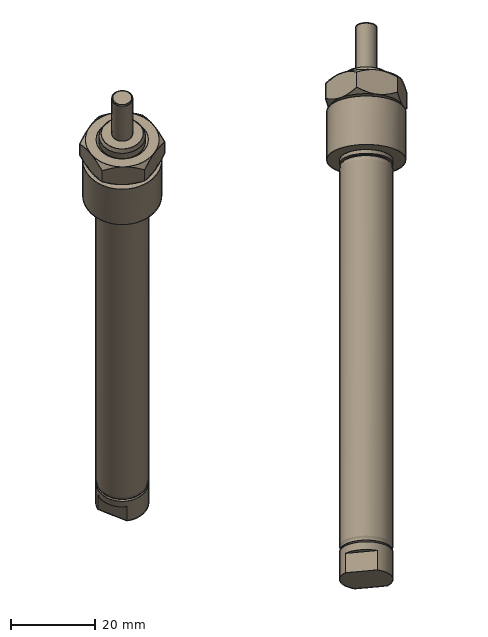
import cadquery as cq

total_height = 142.75
rod_exposed_length = 12.6
nose_top = total_height - rod_exposed_length

barrel_diameter = 12.7
barrel_radius = barrel_diameter / 2
flats_width = 10.0
flats_height = 5.0

crimp_land_depth = 0.15
crimp_full_depth = 0.7
crimp_step_height = 0.5
lower_ledge_height = 7.0
groove_cutter_clearance = 1.0

collar_diameter = 18.8
collar_length = 12.5
nose_length = 9.4
collar_top = nose_top - nose_length
collar_bottom = collar_top - collar_length
collar_neck_length = 1.0
nose_diameter = 11.0
nose_chamfer_height = 1.0
nose_chamfer_width = 0.5

rod_diameter = 5.0
rod_chamfer = 0.25
rod_seat_bottom = collar_bottom

nut_corner_width = 20.24
nut_height = 6.3
nut_gap = 0.9
nut_bottom = collar_top + nut_gap
nut_top = nut_bottom + nut_height
nut_face_diameter = 17.5
nut_corner_chamfer_height = 1.2
blank_oversize = 1.5
nut_countersink_diameter = 12.4
nut_countersink_depth = (nut_countersink_diameter - nose_diameter) / 2


def cylinder_between(diameter, bottom, top):
    """Upright round bar on the Z axis."""
    return cq.Workplane("XY").workplane(offset=bottom).circle(diameter / 2).extrude(top - bottom)


def crimp_groove(ledge_height, direction):
    """Ring to cut beside a ledge; direction is +1 if the groove runs up from the ledge, -1 if down."""
    step = direction * crimp_step_height
    outer_radius = barrel_radius + groove_cutter_clearance
    return (
        cq.Workplane("XZ")
        .moveTo(outer_radius, ledge_height)
        .lineTo(barrel_radius - crimp_full_depth, ledge_height)
        .lineTo(barrel_radius - crimp_land_depth, ledge_height + step)
        .lineTo(barrel_radius - crimp_land_depth, ledge_height + 2 * step)
        .lineTo(barrel_radius, ledge_height + 3 * step)
        .lineTo(outer_radius, ledge_height + 3 * step)
        .close()
        .revolve(360, (0, 0, 0), (0, 1, 0))
    )


def make_cylinder():
    """Barrel, collar and nose in one solid, bored for the rod."""
    nose = cylinder_between(nose_diameter, collar_top, nose_top)
    nose = nose.faces(">Z").edges().chamfer(nose_chamfer_height, nose_chamfer_width)
    body = cylinder_between(barrel_diameter, 0, collar_bottom)
    body = body.union(cylinder_between(collar_diameter, collar_bottom, collar_top)).union(nose)

    body = body.cut(crimp_groove(collar_bottom - collar_neck_length, -1))
    body = body.cut(crimp_groove(lower_ledge_height, 1))

    flat_depth = barrel_radius - flats_width / 2
    for side in (-1, 1):
        flat_center = side * (flats_width + flat_depth) / 2
        cutter = cq.Workplane("XY").center(0, flat_center).rect(barrel_diameter, flat_depth)
        body = body.cut(cutter.extrude(flats_height))

    return body.cut(cylinder_between(rod_diameter, rod_seat_bottom, nose_top))


def make_rod():
    """Piston rod with a lightly chamfered tip."""
    rod = cylinder_between(rod_diameter, rod_seat_bottom, total_height)
    return rod.faces(">Z").edges().chamfer(rod_chamfer)


def make_nut():
    """Hexagonal nut with corners turned down, flats facing -X and +X."""
    nut = (
        cq.Workplane("XY")
        .workplane(offset=nut_bottom)
        .transformed(rotate=(0, 0, 30))
        .polygon(6, nut_corner_width)
        .extrude(nut_height)
    )
    corner_chamfer_width = (nut_corner_width - nut_face_diameter) / 2
    blank_diameter = nut_face_diameter + 2 * blank_oversize * corner_chamfer_width
    turned_blank = cylinder_between(blank_diameter, nut_bottom, nut_top)
    for face in (">Z", "<Z"):
        turned_blank = turned_blank.faces(face).edges().chamfer(
            blank_oversize * nut_corner_chamfer_height, blank_oversize * corner_chamfer_width
        )
    nut = nut.intersect(turned_blank)

    nut = nut.cut(cylinder_between(nose_diameter, nut_bottom, nut_top))
    smallest_circle = cq.selectors.RadiusNthSelector(0)
    for face in (">Z", "<Z"):
        bore_edge = nut.faces(face).edges("%CIRCLE").edges(smallest_circle)
        nut = bore_edge.chamfer(nut_countersink_depth)
    return nut


cylinder = make_cylinder()
rod = make_rod()
nut = make_nut()

result = cq.Compound.makeCompound([cylinder.val(), rod.val(), nut.val()])